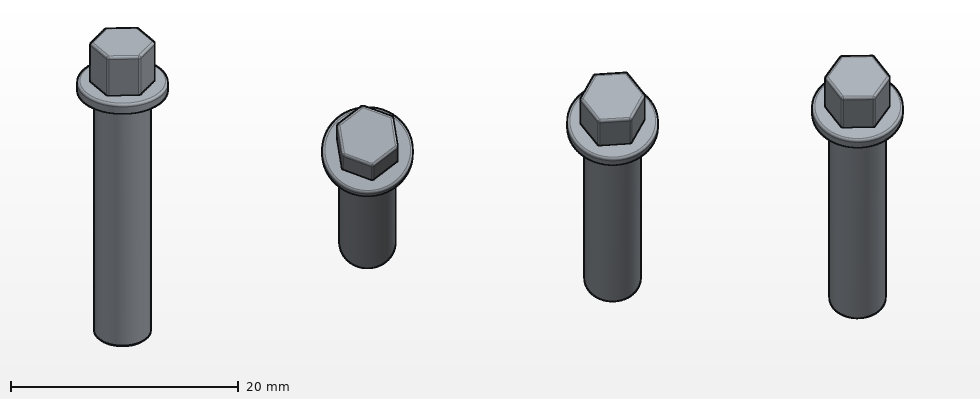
import cadquery as cq
import math

total_length = 30.0
shank_diameter = 5.0
flange_diameter = 8.0
flange_thickness = 1.0
head_height = 4.0
shank_length = total_length - flange_thickness - head_height

across_flats = shank_diameter
across_corners = across_flats / math.cos(math.pi / 6)

shank_chamfer = 0.25
flange_fillet = 0.25
head_fillet = 0.25


def make_shank():
    shank = cq.Workplane("XY").circle(shank_diameter / 2).extrude(-shank_length)
    return shank.faces("<Z").chamfer(shank_chamfer)


def make_flange():
    flange = cq.Workplane("XY").circle(flange_diameter / 2).extrude(flange_thickness)
    return flange.faces(">Z").edges().fillet(flange_fillet)


def make_head():
    """Hexagon with corners on the X axis, rounded vertical and top edges."""
    head = (
        cq.Workplane("XY")
        .workplane(offset=flange_thickness)
        .polygon(6, across_corners)
        .extrude(head_height)
    )
    return head.edges("|Z or >Z").fillet(head_fillet)


result = make_shank().union(make_flange()).union(make_head())